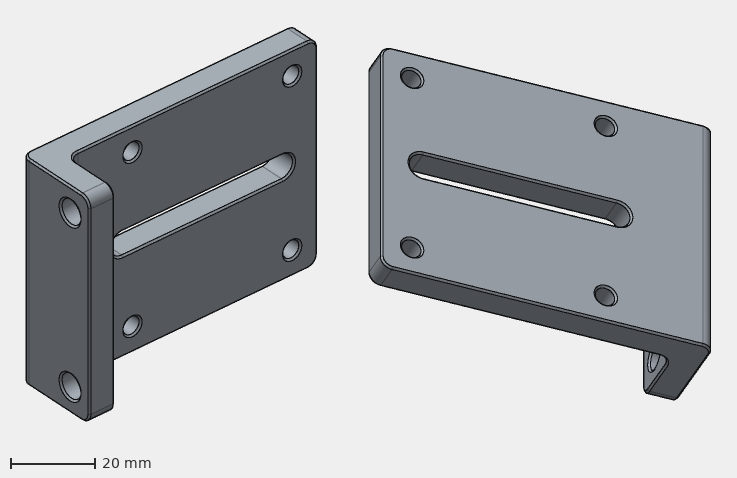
import cadquery as cq

width = 25.0
length = 86.0
height = 65.0
thickness = 8.0
corner_radius = 3.0
edge_chamfer = 0.5

hole_spacing = 50.0
plate_hole_diameter = 5.0
flange_hole_diameter = 7.0
plate_hole_end_distance = 8.0
flange_hole_x = 18.0

slot_length = 56.9
slot_width = 7.0
slot_center_y = 50.05

plate_hole_y_far = length - plate_hole_end_distance
plate_hole_ys = (plate_hole_y_far - hole_spacing, plate_hole_y_far)
hole_zs = (-hole_spacing / 2, hole_spacing / 2)


def bracket_body():
    """L section with a rounded bend, rounded free corners and chamfered rims."""
    body = (
        cq.Workplane("XY")
        .polyline([
            (0, 0),
            (width, 0),
            (width, thickness),
            (thickness, thickness),
            (thickness, length),
            (0, length),
        ])
        .close()
        .extrude(height / 2, both=True)
    )
    bend_edges = (
        body.edges("|Z").edges(cq.selectors.NearestToPointSelector((0, 0, 0)))
        .add(body.edges("|Z").edges(
            cq.selectors.NearestToPointSelector((thickness, thickness, 0))))
    )
    body = bend_edges.fillet(corner_radius)
    body = body.faces(">Y").edges("|X").fillet(corner_radius)
    body = body.faces(">X").edges("|Y").fillet(corner_radius)
    outer_rim = body.faces("<X").edges(">Y")
    inner_rim = body.faces(cq.selectors.NearestToPointSelector(
        (thickness, length / 2, 0))).edges(">Y")
    return outer_rim.add(inner_rim).chamfer(edge_chamfer)


def chamfered_cutter(plane, points, sketch):
    """Through cutter with flared mouths, entering at the plane and running thickness deep."""
    flare = edge_chamfer
    mouth_growth = 2 * flare
    cutter = sketch(plane.pushPoints(points), 0).extrude(thickness)
    near = sketch(plane.pushPoints(points), mouth_growth).extrude(flare, taper=45)
    exit_plane = plane.workplane(offset=thickness)
    far = sketch(exit_plane.pushPoints(points), mouth_growth).extrude(-flare, taper=45)
    return cutter.union(near).union(far)


def round_hole(diameter):
    """Sketch of a circle, widened by growth at the mouths."""
    return lambda plane, growth: plane.circle((diameter + growth) / 2)


def slot(plane, growth):
    """Sketch of the slot, widened by growth at the mouths."""
    return plane.slot2D(slot_length + growth, slot_width + growth)


plate_plane = cq.Workplane("YZ")
flange_plane = cq.Workplane("XZ", origin=(0, thickness, 0))

plate_points = [(y, z) for y in plate_hole_ys for z in hole_zs]
flange_points = [(flange_hole_x, z) for z in hole_zs]

result = bracket_body()
result = result.cut(chamfered_cutter(plate_plane, plate_points, round_hole(plate_hole_diameter)))
result = result.cut(chamfered_cutter(plate_plane, [(slot_center_y, 0)], slot))
result = result.cut(chamfered_cutter(flange_plane, flange_points, round_hole(flange_hole_diameter)))